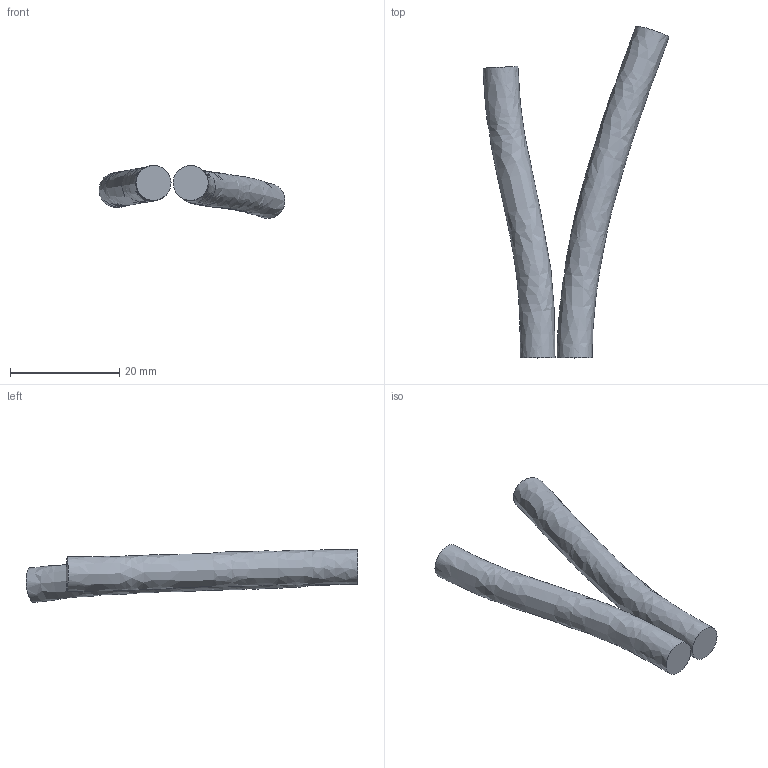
import cadquery as cq

ROD_DIAMETER = 6.4
FRONT_GAP = 0.4
FRONT_OFFSET = (ROD_DIAMETER + FRONT_GAP) / 2

SHORT_ROD_BENDS = [
    (-4.03, 15.0, -0.2),
    (-6.4, 28.2, -0.6),
    (-9.1, 41.4, -1.1),
]
SHORT_ROD_END = (-10.2, 53.3, -1.3)
SHORT_ROD_END_DIRECTION = (-0.05, 1, 0)

LONG_ROD_BENDS = [
    (4.3, 12.8, -0.65),
    (6.7, 26.0, -1.1),
    (10.45, 39.2, -1.65),
    (14.05, 50.0, -2.3),
]
LONG_ROD_END = (17.65, 59.8, -3.35)
LONG_ROD_END_DIRECTION = (0.335, 1, -0.11)

FRONT_DIRECTION = (0, 1, 0)


def bent_rod(front_x, bends, end, end_direction):
    """Sweep the round section along a smooth centre line, square to it at both ends."""
    front = (front_x, 0, 0)
    centre_line = cq.Workplane("XY").spline(
        [front, *bends, end],
        tangents=[FRONT_DIRECTION, end_direction],
        scale=True,
    )
    section = cq.Workplane(cq.Plane(origin=front, xDir=(1, 0, 0), normal=FRONT_DIRECTION))
    return section.circle(ROD_DIAMETER / 2).sweep(centre_line)


short_rod = bent_rod(-FRONT_OFFSET, SHORT_ROD_BENDS, SHORT_ROD_END, SHORT_ROD_END_DIRECTION)
long_rod = bent_rod(FRONT_OFFSET, LONG_ROD_BENDS, LONG_ROD_END, LONG_ROD_END_DIRECTION)

result = cq.Compound.makeCompound([short_rod.val(), long_rod.val()])